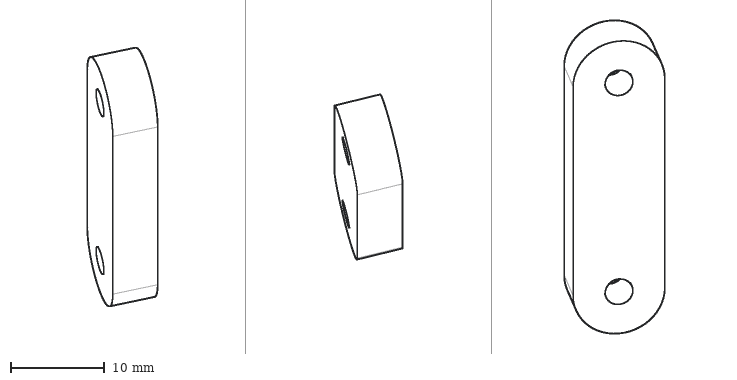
import cadquery as cq

length = 35.0
width = 10.0
thickness = 5.0
hole_diameter = 3.0

hole_spacing = length - width

link = (
    cq.Workplane("XZ")
    .slot2D(length, width, angle=90)
    .extrude(thickness / 2, both=True)
)

result = (
    link.faces("<Y")
    .workplane(origin=(0, 0, 0))
    .pushPoints([(0, -hole_spacing / 2), (0, hole_spacing / 2)])
    .hole(hole_diameter)
)